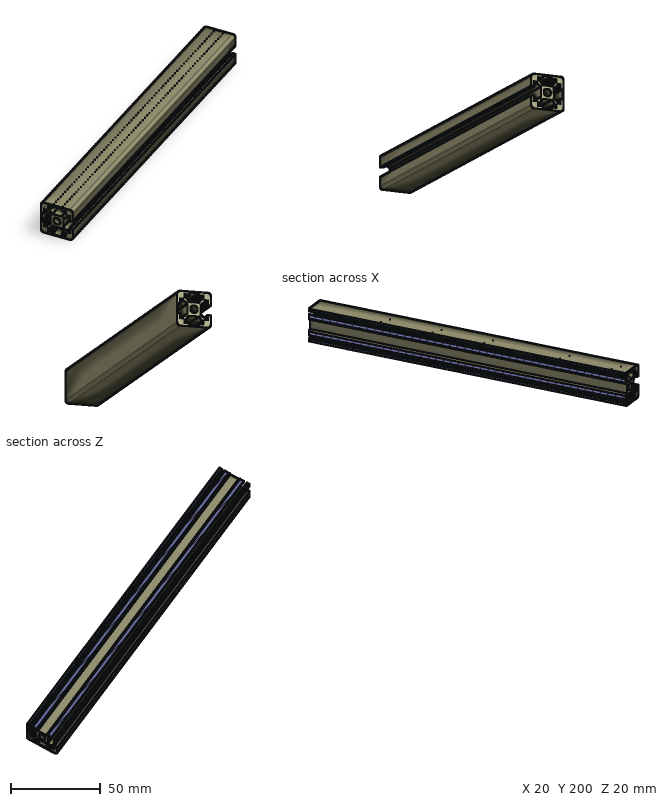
import cadquery as cq

length = 200.0
side = 20.0
half_side = side / 2
corner_radius = 2.0
bore_diameter = 4.2

core_half = 4.0
floor_half_width = 2.8
rib_mid_depth = 5.2
rib_mid_half_width = 3.8
rib_end = 6.5
rib_end_half_width = 4.5
chamber_half_width = 5.5
slot_half_width = 2.8
lip_thickness = 2.0
lip_relief = 0.2
lip_tip_half_width = 4.0
cover_thickness = 0.5

lip_face = half_side - lip_thickness
relief_face = lip_face + lip_relief


def slot_cutter(depth_end, angle):
    """Symmetric slot facing +X, ending at depth_end, turned about the bore axis."""
    walls = [
        (rib_end, chamber_half_width),
        (relief_face, chamber_half_width),
        (relief_face, lip_tip_half_width),
        (lip_face, lip_tip_half_width),
        (lip_face, slot_half_width),
        (depth_end, slot_half_width),
    ]
    mirrored_walls = [(x, -z) for x, z in reversed(walls)]
    cutter = (
        cq.Workplane("XZ")
        .moveTo(core_half, floor_half_width)
        .threePointArc((rib_mid_depth, rib_mid_half_width), (rib_end, rib_end_half_width))
        .polyline(walls + mirrored_walls, includeCurrent=True)
        .lineTo(rib_end, -rib_end_half_width)
        .threePointArc((rib_mid_depth, -rib_mid_half_width), (core_half, -floor_half_width))
        .close()
        .extrude(length / 2, both=True)
    )
    return cutter.rotate((0, 0, 0), (0, 1, 0), angle)


result = cq.Workplane("XY").box(side, length, side).edges("|Y").fillet(corner_radius)

bore = cq.Workplane("XZ").circle(bore_diameter / 2).extrude(length / 2, both=True)
result = result.cut(bore)

result = result.cut(slot_cutter(half_side, 0))
for angle in (90, 180, 270):
    result = result.cut(slot_cutter(half_side - cover_thickness, angle))